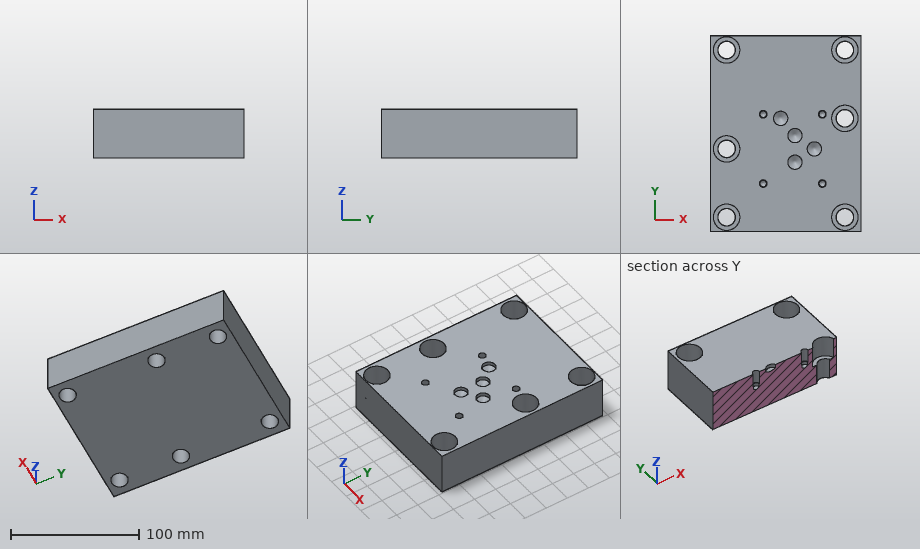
import cadquery as cq
import math

WIDTH = 117.5
LENGTH = 152.4
HEIGHT = 38.1

MOUNT_X = 46.0
MOUNT_CORNER_Y = 65.0
MOUNT_MIDDLE_Y = 11.9
MOUNT_HOLE_DIAMETER = 13.4
COUNTERBORE_DIAMETER = 20.5
COUNTERBORE_DEPTH = 19.0

VALVE_CENTER_X = 5.5
VALVE_CENTER_Y = -MOUNT_MIDDLE_Y
BOLT_SPACING_X = 46.0
BOLT_SPACING_Y = 54.0
THREAD_DIAMETER = 6.0
THREAD_DEPTH = 12.2
TAP_DRILL_DIAMETER = 5.0
TAP_DRILL_DEPTH = 15.2

PORT_DIAMETER = 11.1
PORT_DEPTH = 3.2
PRESSURE_PORT_X = 16.8
TANK_PORT_X = -9.5
TANK_PORT_Y = 23.8
WORK_PORT_X = 1.7
WORK_PORT_Y = 10.4

DRILL_POINT_ANGLE = 118.0


def drilled_holes(points, diameter, depth):
    """Blind holes in the top face, placed about the valve centre.

    The straight wall ends at the given depth, with the conical drill point below it.
    """
    radius = diameter / 2
    point_height = radius / math.tan(math.radians(DRILL_POINT_ANGLE / 2))
    drill = (
        cq.Workplane("XZ")
        .lineTo(radius, 0)
        .lineTo(radius, -depth)
        .lineTo(0, -depth - point_height)
        .close()
        .revolve(360, (0, 0, 0), (0, 1, 0))
        .val()
    )
    return (
        cq.Workplane("XY", origin=(VALVE_CENTER_X, VALVE_CENTER_Y, HEIGHT))
        .pushPoints(points)
        .eachpoint(drill, useLocalCoordinates=True)
    )


mount_points = [(x, y) for x in (-MOUNT_X, MOUNT_X) for y in (-MOUNT_CORNER_Y, MOUNT_CORNER_Y)]
mount_points += [(-MOUNT_X, -MOUNT_MIDDLE_Y), (MOUNT_X, MOUNT_MIDDLE_Y)]

bolt_points = [
    (x, y)
    for x in (-BOLT_SPACING_X / 2, BOLT_SPACING_X / 2)
    for y in (-BOLT_SPACING_Y / 2, BOLT_SPACING_Y / 2)
]

port_points = [
    (PRESSURE_PORT_X, 0),
    (TANK_PORT_X, TANK_PORT_Y),
    (WORK_PORT_X, WORK_PORT_Y),
    (WORK_PORT_X, -WORK_PORT_Y),
]

block = cq.Workplane("XY").box(WIDTH, LENGTH, HEIGHT, centered=(True, True, False))
block = (
    block.faces(">Z")
    .workplane()
    .pushPoints(mount_points)
    .cboreHole(MOUNT_HOLE_DIAMETER, COUNTERBORE_DIAMETER, COUNTERBORE_DEPTH)
)

tap_drills = drilled_holes(bolt_points, TAP_DRILL_DIAMETER, TAP_DRILL_DEPTH)
threads = (
    cq.Workplane("XY", origin=(VALVE_CENTER_X, VALVE_CENTER_Y, HEIGHT))
    .pushPoints(bolt_points)
    .circle(THREAD_DIAMETER / 2)
    .extrude(-THREAD_DEPTH)
)

ports = drilled_holes(port_points, PORT_DIAMETER, PORT_DEPTH)

result = block.cut(tap_drills).cut(threads).cut(ports)